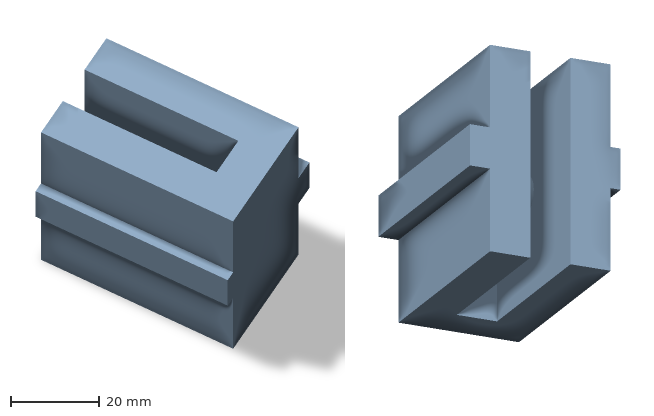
import cadquery as cq

length = 50.0
height = 50.0
arm_thickness = 10.0
slot_width = 10.0
web_thickness = 10.0
pin_diameter = 10.0
rib_height = 10.0
front_rib_depth = 2.5
back_rib_depth = 5.0

body_width = 2 * arm_thickness + slot_width
slot_length = length - web_thickness
ribs_width = front_rib_depth + body_width + back_rib_depth
ribs_center_y = (back_rib_depth - front_rib_depth) / 2

body = cq.Workplane("XY").box(length, body_width, height)

ribs = cq.Workplane("XY").box(length, ribs_width, rib_height).translate((0, ribs_center_y, 0))

slot = cq.Workplane("XY").box(slot_length, slot_width, height).translate((-web_thickness / 2, 0, 0))

pin = cq.Workplane("XZ").circle(pin_diameter / 2).extrude(body_width / 2, both=True)

result = body.union(ribs).cut(slot).union(pin)